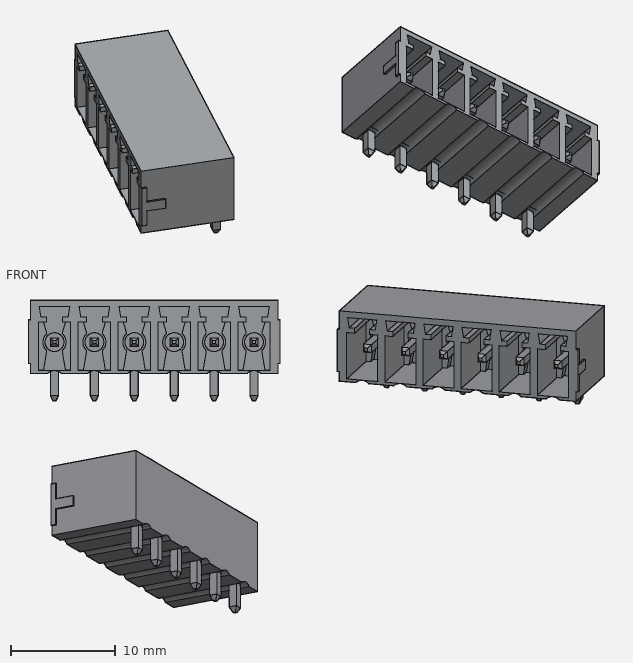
import cadquery as cq


pin_count = 6
pitch = 3.81
row_length = (pin_count - 1) * pitch
pin_axis_z = 3.0

end_margin = 2.3
housing_length = row_length + 2 * end_margin
housing_depth = 9.2
housing_height = 7.0

pad_thickness = 0.2
pad_bar_depth = 0.5
pad_bar_height = 4.2
pad_stem_depth = 2.4
pad_stem_height = 1.0
pad_axis_z = 3.05

chamber_depth = 7.2
chamber_half_width = 1.55
chamber_floor_z = 0.3
tab_bottom_z = 4.9
tab_top_z = 5.4
tab_gap_half_width = 0.75
keyway_top_z = 6.4
keyway_bottom_half_width = 1.3
keyway_top_half_width = 1.46

cheek_height = 1.0
cheek_floor_gap = 0.05
waist_half_width = 0.75
waist_lower_z = 2.1
waist_upper_z = 3.9
cheek_end_half_width = 1.05
cheek_bore_diameter = 2.2
boss_diameter = 1.8

groove_height = 0.28
groove_diameter = 1.8

pin_width = 0.8
pin_tip_y = 1.2
pin_leg_inset = 1.2
pin_leg_y = housing_depth - pin_leg_inset
pin_bottom_z = -2.61
pin_taper_length = 0.5
contact_tip_width = 0.3
leg_tip_width = 0.3

pin_positions = [index * pitch - row_length / 2 for index in range(pin_count)]


def box(x_range, y_range, z_range):
    """Block between the given limits along each axis."""
    (x0, x1), (y0, y1), (z0, z1) = x_range, y_range, z_range
    return cq.Workplane("XY").box(x1 - x0, y1 - y0, z1 - z0, centered=False).translate((x0, y0, z0))


def xz_plane(y):
    """XZ workplane at the given Y; extruding from it with a negative length goes toward +Y."""
    return cq.Workplane("XZ", origin=(0, y, 0))


def mirrored_outline(right_points):
    """Closed outline made of the right-hand points, bottom to top, and their mirror images."""
    return right_points + [(-x, z) for x, z in reversed(right_points)]


def end_pads():
    """T-shaped pads on both end faces, as one bar and one stem running through the housing length."""
    half_length = housing_length / 2 + pad_thickness
    x_range = (-half_length, half_length)

    def pad_block(depth, height):
        z_range = (pad_axis_z - height / 2, pad_axis_z + height / 2)
        return box(x_range, (0, depth), z_range)

    return pad_block(pad_bar_depth, pad_bar_height).union(pad_block(pad_stem_depth, pad_stem_height))


def chamber_space():
    """Space of one chamber: a rectangular bay, with a flared keyway above its two side tabs."""
    outline = mirrored_outline([
        (chamber_half_width, chamber_floor_z),
        (chamber_half_width, tab_bottom_z),
        (tab_gap_half_width, tab_bottom_z),
        (tab_gap_half_width, tab_top_z),
        (keyway_bottom_half_width, tab_top_z),
        (keyway_top_half_width, keyway_top_z),
    ])
    return xz_plane(0).polyline(outline).close().extrude(-chamber_depth)


def cheeks_and_boss():
    """Two cheeks with an hourglass channel and a round bore between them, and a boss in that bore."""
    front_y = chamber_depth - cheek_height
    cheeks = box(
        (-chamber_half_width, chamber_half_width),
        (front_y, chamber_depth),
        (chamber_floor_z + cheek_floor_gap, tab_bottom_z),
    )
    hourglass = mirrored_outline([
        (cheek_end_half_width, chamber_floor_z),
        (waist_half_width, waist_lower_z),
        (waist_half_width, waist_upper_z),
        (cheek_end_half_width, tab_bottom_z),
    ])
    channel = xz_plane(front_y).polyline(hourglass).close().extrude(-cheek_height)

    def disc(diameter):
        return xz_plane(front_y).center(0, pin_axis_z).circle(diameter / 2).extrude(-cheek_height)

    return cheeks.cut(channel).cut(disc(cheek_bore_diameter)).union(disc(boss_diameter))


def groove():
    """Shallow round-topped groove along the full depth of the underside."""
    axis_z = groove_height - groove_diameter / 2
    groove_rod = xz_plane(0).center(0, axis_z).circle(groove_diameter / 2)
    return groove_rod.extrude(-housing_depth)


def make_pin():
    """One L-shaped pin: a contact toward the mating face and a solder leg going down."""
    half = pin_width / 2
    x_range = (-half, half)
    contact_start_y = pin_tip_y + pin_taper_length
    leg_end_z = pin_bottom_z + pin_taper_length
    contact = box(x_range, (contact_start_y, pin_leg_y + half), (pin_axis_z - half, pin_axis_z + half))
    leg = box(x_range, (pin_leg_y - half, pin_leg_y + half), (leg_end_z, pin_axis_z))
    contact_tip = (
        xz_plane(contact_start_y).center(0, pin_axis_z).rect(pin_width, pin_width)
        .workplane(offset=pin_taper_length).rect(contact_tip_width, contact_tip_width).loft()
    )
    leg_tip = (
        cq.Workplane("XY", origin=(0, pin_leg_y, leg_end_z)).rect(pin_width, pin_width)
        .workplane(offset=-pin_taper_length).rect(leg_tip_width, leg_tip_width).loft()
    )
    return contact.union(leg).union(contact_tip).union(leg_tip)


def make_housing(pins):
    """Housing block with its pads, chambers, grooves and matching pin passages."""
    half_length = housing_length / 2
    housing = box((-half_length, half_length), (0, housing_depth), (0, housing_height)).union(end_pads())
    chamber = chamber_space().cut(cheeks_and_boss()).union(groove())
    for x in pin_positions:
        housing = housing.cut(chamber.translate((x, 0, 0)))
    for pin in pins:
        housing = housing.cut(pin)
    return housing


pins = [make_pin().translate((x, 0, 0)) for x in pin_positions]
housing = make_housing(pins)

result = cq.Compound.makeCompound([housing.val(), *[pin.val() for pin in pins]])